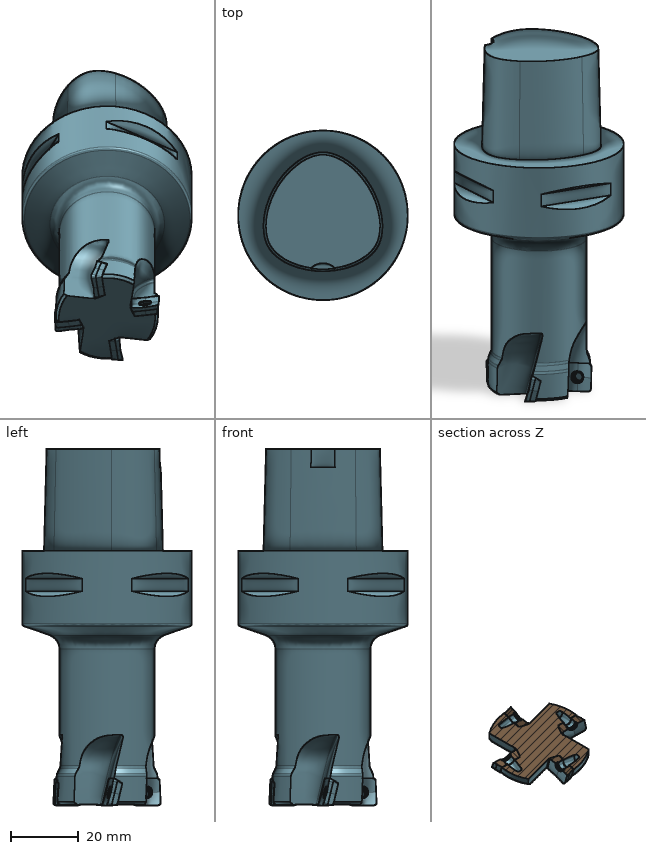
import cadquery as cq
import math

TOTAL_HEIGHT = 105.0
SHANK_HEIGHT = 30.0
FLANGE_HEIGHT = 21.3
FLANGE_TOP = TOTAL_HEIGHT - SHANK_HEIGHT
FLANGE_BOTTOM = FLANGE_TOP - FLANGE_HEIGHT

SHANK_MEAN_RADIUS = 17.5
LOBE_HEIGHT = 1.0
SHANK_TAPER = 1 / 40
GENTLE_SIDE_DIRECTIONS = (30, 150, 270)
GENTLE_SIDE_HALF_ANGLE = 24.0
SHANK_STEPS = 8

NOTCH_RADIUS = 4.8
NOTCH_DEPTH = 5.5
NOTCH_FLOOR_Y = -14.1

FLANGE_DIAMETER = 50.0
FLANGE_RADIUS = FLANGE_DIAMETER / 2
FLANGE_ROUND = 0.9
CONE_ANGLE = 19.0
NECK_FILLET = 4.2
GROOVE_COUNT = 4
GROOVE_START_ANGLE = 45.0
GROOVE_FLOOR_RADIUS = 22.0
GROOVE_FLOOR_HEIGHT = 3.7
GROOVE_SIDE_ANGLE = 28.0
GROOVE_DROP = 10.0

NECK_DIAMETER = 28.0
NECK_RADIUS = NECK_DIAMETER / 2
HEAD_RADIUS = 15.0
FLARE_TOP = 11.4
FLARE_BOTTOM = 9.1
FLARE_ROUND = 2.1
HEAD_BOTTOM = 0.3
HEAD_CHAMFER = 0.8

FLUTE_COUNT = 4
FLUTE_FLOOR_ANGLE = 25.0
FLUTE_FLOOR_OFFSET = 6.3
FLUTE_TOP = 20.9
FLUTE_RUNOUT = [(6.7, 9.8), (8.5, 16.6), (10.6, 19.2), (NECK_RADIUS, FLUTE_TOP)]
FLUTE_CORNER_ROUND = 0.7
FLUTE_WALL_SETBACK = 0.2

CUTTING_RADIUS = 16.0
AXIAL_RAKE = 14.0
RADIAL_RAKE = 10.0
INSERT_SIDE = 8.3
EDGE_BULGE = 0.1
INSERT_CORNER = 0.9
LAND_THICKNESS = 1.4
BACK_THICKNESS = 1.7
INSERT_THICKNESS = LAND_THICKNESS + BACK_THICKNESS
LAND_RELIEF = 14.0
BACK_RELIEF = 18.0
RAKE_DISH = 0.5
SCREW_RECESS_DIAMETER = 3.5
SCREW_RECESS_DEPTH = 1.3
COUNTERSINK_DIAMETER = 4.0
COUNTERSINK_DEPTH = 0.6
SCREW_HOLE_DIAMETER = 2.8
POCKET_OPENING = 0.8
THREAD_DIAMETER = 2.5
THREAD_DEPTH = 4.2

EDGE_SEARCH = 0.1
CLEAR = 63.0


def rake_plane():
    """Plane of the -Y rake face: x runs outwards, y runs up, the normal faces the flute."""
    axial = math.radians(AXIAL_RAKE)
    radial = math.radians(RADIAL_RAKE)
    outward = cq.Vector(math.sin(radial), -math.cos(radial), 0)
    lean = cq.Vector(math.tan(axial), 0, 1)
    normal = outward.cross(lean).normalized()
    reach = INSERT_SIDE / 2 + EDGE_BULGE
    tip = cq.Plane(cq.Vector(0, -CUTTING_RADIUS, 0), outward, normal)
    return cq.Plane(tip.toWorldCoords((-reach, reach, 0)), outward, normal)


RAKE = rake_plane()


def around_axis(shape, count, start=0.0):
    """Copies of a shape spaced evenly about the Z axis."""
    return [shape.rotate((0, 0, 0), (0, 0, 1), start + i * 360 / count) for i in range(count)]


def lobed_point(radius, angle, z):
    """Point of a constant-width three-lobed curve with its lobe towards +Y."""
    phase = 3 * (angle - math.pi / 2)
    reach = radius + LOBE_HEIGHT * math.cos(phase)
    slope = -3 * LOBE_HEIGHT * math.sin(phase)
    x = reach * math.cos(angle) - slope * math.sin(angle)
    y = reach * math.sin(angle) + slope * math.cos(angle)
    return cq.Vector(x, y, z)


def lobed_wire(radius, z):
    """Closed section made of three gentle sides and three lobes."""
    breaks = []
    for side in GENTLE_SIDE_DIRECTIONS:
        breaks += [side - GENTLE_SIDE_HALF_ANGLE, side + GENTLE_SIDE_HALF_ANGLE]
    edges = []
    for start, end in zip(breaks, breaks[1:] + [breaks[0] + 360]):
        angles = [math.radians(start + (end - start) * i / SHANK_STEPS) for i in range(SHANK_STEPS + 1)]
        points = [lobed_point(radius, angle, z) for angle in angles]
        tangents = [cq.Vector(-math.sin(a), math.cos(a), 0) for a in (angles[0], angles[-1])]
        edges.append(cq.Edge.makeSpline(points, tangents))
    return cq.Wire.assembleEdges(edges)


def make_shank():
    top_radius = SHANK_MEAN_RADIUS - SHANK_HEIGHT * SHANK_TAPER
    bottom = lobed_wire(SHANK_MEAN_RADIUS, FLANGE_TOP)
    top = lobed_wire(top_radius, TOTAL_HEIGHT)
    notch = (
        cq.Workplane("XY", origin=(0, NOTCH_FLOOR_Y - NOTCH_RADIUS, TOTAL_HEIGHT))
        .circle(NOTCH_RADIUS)
        .extrude(-NOTCH_DEPTH)
    )
    return cq.Workplane(cq.Solid.makeLoft([bottom, top], True)).cut(notch)


def rim_at(z):
    """Selector for the circular edge at height z."""
    low = (-CLEAR, -CLEAR, z - EDGE_SEARCH)
    high = (CLEAR, CLEAR, z + EDGE_SEARCH)
    return cq.selectors.BoxSelector(low, high, boundingbox=True)


def make_turned_body():
    """Flange, conical shoulder, neck and flared head, revolved about Z."""
    drop = math.tan(math.radians(CONE_ANGLE))
    shoulder_z = FLANGE_BOTTOM - FLANGE_ROUND * math.tan(math.radians((90 - CONE_ANGLE) / 2))
    neck_z = shoulder_z - (FLANGE_RADIUS - NECK_RADIUS) * drop
    body = (
        cq.Workplane("XZ")
        .moveTo(0, HEAD_BOTTOM)
        .lineTo(HEAD_RADIUS - HEAD_CHAMFER, HEAD_BOTTOM)
        .lineTo(HEAD_RADIUS, HEAD_BOTTOM + HEAD_CHAMFER)
        .lineTo(HEAD_RADIUS, FLARE_BOTTOM)
        .lineTo(NECK_RADIUS, FLARE_TOP)
        .lineTo(NECK_RADIUS, neck_z)
        .lineTo(FLANGE_RADIUS, shoulder_z)
        .lineTo(FLANGE_RADIUS, FLANGE_TOP)
        .lineTo(0, FLANGE_TOP)
        .close()
        .revolve(360, (0, 0, 0), (0, 1, 0))
    )

    rounds = (
        (shoulder_z, FLANGE_ROUND),
        (neck_z, NECK_FILLET),
        (FLARE_TOP, FLARE_ROUND),
        (FLARE_BOTTOM, FLARE_ROUND),
    )
    for z, radius in rounds:
        body = body.edges(rim_at(z)).fillet(radius)
    return body


def make_groove():
    """Straight trapezoidal groove across the +X side of the flange."""
    depth = FLANGE_RADIUS - GROOVE_FLOOR_RADIUS
    inner = GROOVE_FLOOR_HEIGHT / 2
    outer = inner + depth * math.tan(math.radians(GROOVE_SIDE_ANGLE))
    return (
        cq.Workplane("XZ", origin=(0, 0, FLANGE_TOP - GROOVE_DROP))
        .moveTo(GROOVE_FLOOR_RADIUS, -inner)
        .lineTo(FLANGE_RADIUS, -outer)
        .lineTo(FLANGE_RADIUS, outer)
        .lineTo(GROOVE_FLOOR_RADIUS, inner)
        .close()
        .extrude(FLANGE_RADIUS, both=True)
    )


def make_flute():
    """Cutter for the -Y flute: a floor running out upwards, stopped by a wall behind the rake plane."""
    angle = math.radians(FLUTE_FLOOR_ANGLE)
    along = cq.Vector(math.cos(angle), math.sin(angle), 0)
    facing = cq.Vector(math.sin(angle), -math.cos(angle), 0)
    section = cq.Plane((0, 0, 0), facing, along * -1)
    floor = (
        cq.Workplane(section)
        .moveTo(FLUTE_FLOOR_OFFSET, -CLEAR)
        .lineTo(FLUTE_FLOOR_OFFSET, 0)
        .spline(FLUTE_RUNOUT, tangents=[(0, 1), (1, 0)], includeCurrent=True)
        .lineTo(CLEAR, FLUTE_TOP)
        .lineTo(CLEAR, -CLEAR)
        .close()
        .extrude(CLEAR / 2, both=True)
    )
    front = cq.Workplane(RAKE).workplane(offset=-FLUTE_WALL_SETBACK).rect(4 * CLEAR, 4 * CLEAR).extrude(CLEAR)
    flute = floor.intersect(front)
    wall = flute.faces(cq.selectors.DirectionMinMaxSelector(RAKE.zDir, False))
    return wall.edges(cq.selectors.DirectionMinMaxSelector(facing, False)).fillet(FLUTE_CORNER_ROUND)


def insert_layer(side, corner, depth_start, thickness, relief):
    """Rounded square slab, slightly bulged at mid-side, that shrinks backwards by the relief angle."""
    half = side / 2
    points = []
    for x, y in ((1, 0), (0, 1), (-1, 0), (0, -1)):
        points.append((x * (half + EDGE_BULGE), y * (half + EDGE_BULGE)))
        points.append(((x - y) * half, (x + y) * half))
    outline = cq.Sketch().polygon(points + points[:1]).vertices("not(>X or <X or >Y or <Y)").fillet(corner)
    front = cq.Plane(RAKE.toWorldCoords((0, 0, -depth_start)), RAKE.xDir, RAKE.zDir)
    return cq.Workplane(front).placeSketch(outline).extrude(-thickness, taper=relief)


def make_insert_blank():
    """Square insert with a lightly relieved land and a steeper relief behind it."""
    shrink = LAND_THICKNESS * math.tan(math.radians(LAND_RELIEF))
    land = insert_layer(INSERT_SIDE, INSERT_CORNER, 0, LAND_THICKNESS, LAND_RELIEF)
    back = insert_layer(
        INSERT_SIDE - 2 * shrink, INSERT_CORNER - shrink, LAND_THICKNESS, BACK_THICKNESS, BACK_RELIEF
    )
    return land.union(back)


def make_rake_dish():
    """Shallow four-sided hollow, deepest at the screw, with creases along the insert's midlines."""

    def diamond(reach, depth):
        corners = [(reach, 0, -depth), (0, reach, -depth), (-reach, 0, -depth), (0, -reach, -depth)]
        return cq.Wire.makePolygon([RAKE.toWorldCoords(c) for c in corners], close=True)

    inner_reach = SCREW_HOLE_DIAMETER / 2
    inner_depth = RAKE_DISH * (1 - inner_reach / INSERT_SIDE)
    return cq.Solid.makeLoft([diamond(INSERT_SIDE, 0), diamond(inner_reach, inner_depth)], True)


def screw_hole(diameter, depth):
    return cq.Workplane(RAKE).circle(diameter / 2).extrude(-depth)


def make_countersink():
    mouth = cq.Workplane(RAKE).circle(COUNTERSINK_DIAMETER / 2)
    return mouth.workplane(offset=-COUNTERSINK_DEPTH).circle(SCREW_RECESS_DIAMETER / 2).loft(ruled=True)


def make_insert():
    """Indexable insert on the -Y rake face, dished and stepped for its screw."""
    return (
        make_insert_blank()
        .cut(cq.Workplane(make_rake_dish()))
        .cut(make_countersink())
        .cut(screw_hole(SCREW_RECESS_DIAMETER, SCREW_RECESS_DEPTH))
        .cut(screw_hole(SCREW_HOLE_DIAMETER, INSERT_THICKNESS))
    )


def make_pocket():
    """Room for the insert and its screw thread, left open below and outwards past the head."""
    seat = make_insert_blank()
    for opening in (RAKE.yDir * -POCKET_OPENING, RAKE.xDir * POCKET_OPENING):
        seat = seat.union(make_insert_blank().translate(opening))
    return seat.union(screw_hole(THREAD_DIAMETER, INSERT_THICKNESS + THREAD_DEPTH))


def make_tool_body():
    tool = make_shank().union(make_turned_body())
    for groove in around_axis(make_groove(), GROOVE_COUNT, GROOVE_START_ANGLE):
        tool = tool.cut(groove)
    for flute in around_axis(make_flute(), FLUTE_COUNT):
        tool = tool.cut(flute)
    for pocket in around_axis(make_pocket(), FLUTE_COUNT):
        tool = tool.cut(pocket)
    return tool


tool_body = make_tool_body()
inserts = [insert.val() for insert in around_axis(make_insert(), FLUTE_COUNT)]

result = cq.Compound.makeCompound([tool_body.val(), *inserts])